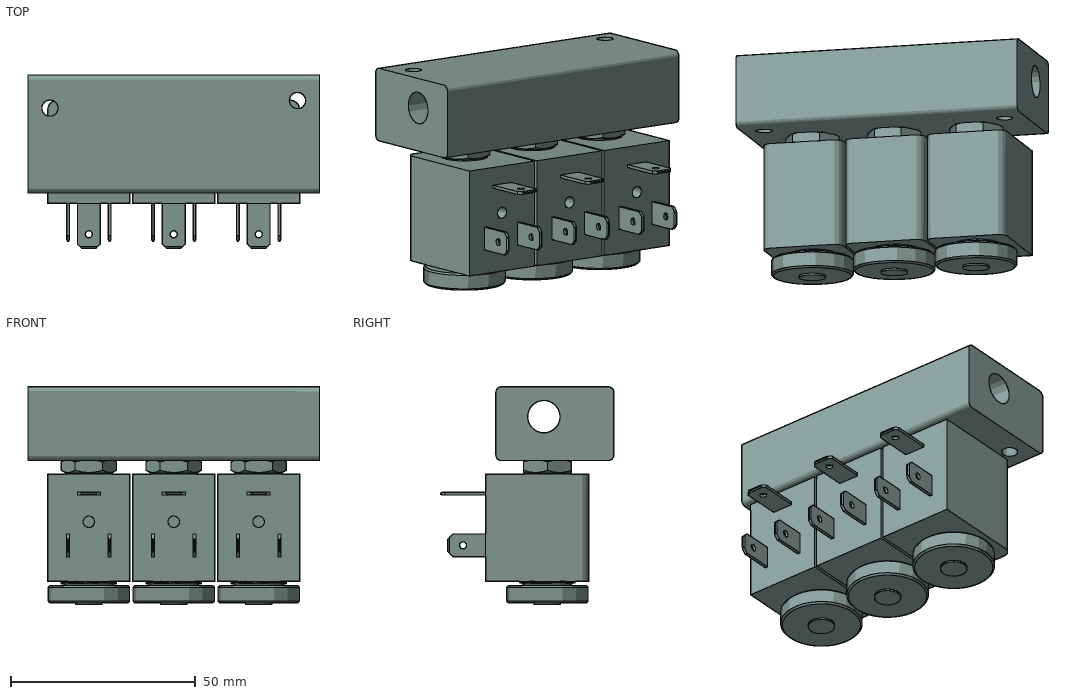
import cadquery as cq
import math


BLOCK_LENGTH = 79.0
BLOCK_BACK = 18.0
BLOCK_FRONT = 14.0
BLOCK_HEIGHT = 20.1
BLOCK_EDGE_RADIUS = 1.6
BORE_DIAMETER = 8.7
BORE_Y = -0.95
BORE_Z = 11.9
MOUNT_HOLE_DIAMETER = 4.35
MOUNT_HOLE_X = 33.5
MOUNT_HOLE_LEFT_Y = 9.0
MOUNT_HOLE_RIGHT_Y = 11.05

VALVE_PITCH = 23.0
VALVE_COUNT = 3
HEX_FLATS = 13.0
HEX_SUNK = 0.4
HEX_CHAMFER_RADIAL = 1.3
HEX_CHAMFER_ANGLE = 30.0
HEX_LAND_HEIGHT = 0.3
STEM_DIAMETER = 7.2
STEM_PROTRUSION = 0.5

COIL_WIDTH = 22.3
COIL_BACK = 11.2
COIL_FRONT = 16.75
COIL_HEIGHT = 29.0
COIL_TOP_Z = -3.6
COIL_BACK_RADIUS = 2.7
SCREW_HOLE_DIAMETER = 3.1
SCREW_HOLE_DEPTH = 4.75
SCREW_HOLE_Z = -16.5

BLADE_WIDTH = 6.25
BLADE_THICKNESS = 0.8
BLADE_HOLE_DIAMETER = 1.8
BLADE_TIP_BEVEL = 0.2
BLADE_TIP_BEVEL_LENGTH = 0.5
GROUND_BLADE_LENGTH = 12.2
GROUND_BLADE_CORNER = 1.2
GROUND_BLADE_HOLE_TO_TIP = 3.8
GROUND_BLADE_Z = -8.9
POWER_BLADE_LENGTH = 10.3
POWER_BLADE_CORNER = 1.5
POWER_BLADE_HOLE_TO_TIP = 4.2
POWER_BLADE_Z = -22.9
POWER_BLADE_X = 5.6

WASHER_DIAMETER = 15.0
WASHER_THICKNESS = 0.3
WASHER_BEND = 0.4
WASHER_ANGLE = 25.0
KNOB_DIAMETER = 22.1
KNOB_HEIGHT = 4.7
KNOB_CHAMFER = 0.5
COLLAR_DIAMETER = 13.75
COLLAR_HEIGHT = 0.5

VALVE_XS = [(i - (VALVE_COUNT - 1) / 2) * VALVE_PITCH for i in range(VALVE_COUNT)]
COIL_BOTTOM_Z = COIL_TOP_Z - COIL_HEIGHT
COLLAR_TOP_Z = COIL_BOTTOM_Z - WASHER_BEND - WASHER_THICKNESS
KNOB_TOP_Z = COLLAR_TOP_Z - COLLAR_HEIGHT
KNOB_BOTTOM_Z = KNOB_TOP_Z - KNOB_HEIGHT
STEM_BOTTOM_Z = KNOB_BOTTOM_Z - STEM_PROTRUSION


def vertical_cylinder(diameter, z_bottom, z_top):
    """Cylinder on the valve axis between two heights."""
    return cq.Workplane("XY").workplane(offset=z_bottom).circle(diameter / 2).extrude(z_top - z_bottom)


def make_stem():
    """Hexagon chamfered at both ends, with a round land and the stem that carries coil, washer and knob."""
    hex_bottom_z = COIL_TOP_Z + HEX_LAND_HEIGHT
    hex_corners = HEX_FLATS / math.cos(math.pi / 6)
    land_diameter = hex_corners - 2 * HEX_CHAMFER_RADIAL
    chamfer_rise = HEX_CHAMFER_RADIAL * math.tan(math.radians(HEX_CHAMFER_ANGLE))
    hexagon = (
        cq.Workplane("XY").workplane(offset=hex_bottom_z)
        .polygon(6, hex_corners).extrude(HEX_SUNK - hex_bottom_z)
    )
    envelope = (
        vertical_cylinder(hex_corners, hex_bottom_z, HEX_SUNK)
        .faces("<Z or >Z").chamfer(chamfer_rise, HEX_CHAMFER_RADIAL)
    )
    land = vertical_cylinder(land_diameter, COIL_TOP_Z, hex_bottom_z)
    shank = vertical_cylinder(STEM_DIAMETER, STEM_BOTTOM_Z, HEX_SUNK)
    return hexagon.intersect(envelope).union(land).union(shank)


def make_manifold():
    block = (
        cq.Workplane("XY")
        .box(BLOCK_LENGTH, BLOCK_FRONT + BLOCK_BACK, BLOCK_HEIGHT, centered=(True, False, False))
        .translate((0, -BLOCK_FRONT, 0))
        .edges("|X").fillet(BLOCK_EDGE_RADIUS)
    )
    bore = (
        cq.Workplane("YZ").center(BORE_Y, BORE_Z)
        .circle(BORE_DIAMETER / 2).extrude(BLOCK_LENGTH / 2, both=True)
    )
    mount_holes = (
        cq.Workplane("XY")
        .pushPoints([(-MOUNT_HOLE_X, MOUNT_HOLE_LEFT_Y), (MOUNT_HOLE_X, MOUNT_HOLE_RIGHT_Y)])
        .circle(MOUNT_HOLE_DIAMETER / 2).extrude(BLOCK_HEIGHT)
    )
    manifold = block.cut(bore).cut(mount_holes)
    stem = make_stem()
    for x in VALVE_XS:
        manifold = manifold.union(stem.translate((x, 0, 0)))
    return manifold


def make_blade(length, corner, hole_to_tip):
    """Flat terminal in the XY plane, centred on Z = 0, that runs from Y = 0 to Y = -length."""
    tip_bevel = (
        cq.Workplane("XY")
        .box(BLADE_WIDTH, length, BLADE_THICKNESS, centered=(True, False, True))
        .translate((0, -length, 0))
        .faces("<Y").edges("|X").chamfer(BLADE_TIP_BEVEL, BLADE_TIP_BEVEL_LENGTH)
    )
    outline = (
        cq.Workplane("XY")
        .rect(BLADE_WIDTH, 2 * length).extrude(BLADE_THICKNESS / 2, both=True)
        .edges("|Z and <Y").chamfer(corner)
    )
    hole = (
        cq.Workplane("XY").center(0, hole_to_tip - length)
        .circle(BLADE_HOLE_DIAMETER / 2).extrude(BLADE_THICKNESS, both=True)
    )
    return tip_bevel.intersect(outline).cut(hole)


def make_coil():
    """Coil housing with its three terminals, on the valve axis."""
    housing = (
        cq.Workplane("XY").workplane(offset=COIL_BOTTOM_Z)
        .center(0, (COIL_BACK - COIL_FRONT) / 2)
        .rect(COIL_WIDTH, COIL_BACK + COIL_FRONT).extrude(COIL_HEIGHT)
        .edges("|Z and >Y").fillet(COIL_BACK_RADIUS)
    )
    screw_hole = (
        cq.Workplane("XZ").workplane(offset=COIL_FRONT - SCREW_HOLE_DEPTH)
        .center(0, SCREW_HOLE_Z).circle(SCREW_HOLE_DIAMETER / 2).extrude(SCREW_HOLE_DEPTH)
    )
    stem_hole = vertical_cylinder(STEM_DIAMETER, COIL_BOTTOM_Z, COIL_TOP_Z)
    ground_blade = make_blade(GROUND_BLADE_LENGTH, GROUND_BLADE_CORNER, GROUND_BLADE_HOLE_TO_TIP)
    power_blade = (
        make_blade(POWER_BLADE_LENGTH, POWER_BLADE_CORNER, POWER_BLADE_HOLE_TO_TIP)
        .rotate((0, 0, 0), (0, 1, 0), 90)
    )
    coil = housing.cut(screw_hole).cut(stem_hole)
    coil = coil.union(ground_blade.translate((0, -COIL_FRONT, GROUND_BLADE_Z)))
    for x in (-POWER_BLADE_X, POWER_BLADE_X):
        coil = coil.union(power_blade.translate((x, -COIL_FRONT, POWER_BLADE_Z)))
    return coil


def make_washer():
    """Round washer bent about its low line, so that two opposite rims touch the coil."""
    radius = WASHER_DIAMETER / 2
    rim_z = COIL_BOTTOM_Z
    low_z = COIL_BOTTOM_Z - WASHER_BEND
    bent_sheet = (
        cq.Workplane("YZ")
        .moveTo(-radius, rim_z)
        .threePointArc((0, low_z), (radius, rim_z))
        .lineTo(radius, rim_z - WASHER_THICKNESS)
        .threePointArc((0, low_z - WASHER_THICKNESS), (-radius, rim_z - WASHER_THICKNESS))
        .close().extrude(radius, both=True)
    )
    ring = (
        cq.Workplane("XY").workplane(offset=COLLAR_TOP_Z)
        .circle(radius).circle(STEM_DIAMETER / 2).extrude(COIL_BOTTOM_Z - COLLAR_TOP_Z)
    )
    return bent_sheet.intersect(ring).rotate((0, 0, 0), (0, 0, 1), WASHER_ANGLE)


def make_knob():
    """Chamfered round knob with a 45-degree tapered collar on top, bored for the stem."""
    disc = (
        vertical_cylinder(KNOB_DIAMETER, KNOB_BOTTOM_Z, KNOB_TOP_Z)
        .faces("<Z or >Z").chamfer(KNOB_CHAMFER)
    )
    collar = (
        cq.Workplane("XY").workplane(offset=KNOB_TOP_Z)
        .circle(COLLAR_DIAMETER / 2).extrude(COLLAR_HEIGHT, taper=45)
    )
    return disc.union(collar).cut(vertical_cylinder(STEM_DIAMETER, KNOB_BOTTOM_Z, COLLAR_TOP_Z))


manifold = make_manifold()
coil = make_coil()
washer = make_washer()
knob = make_knob()

bodies = [manifold.val()]
for x in VALVE_XS:
    for body in (coil, washer, knob):
        bodies.append(body.translate((x, 0, 0)).val())

result = cq.Compound.makeCompound(bodies)